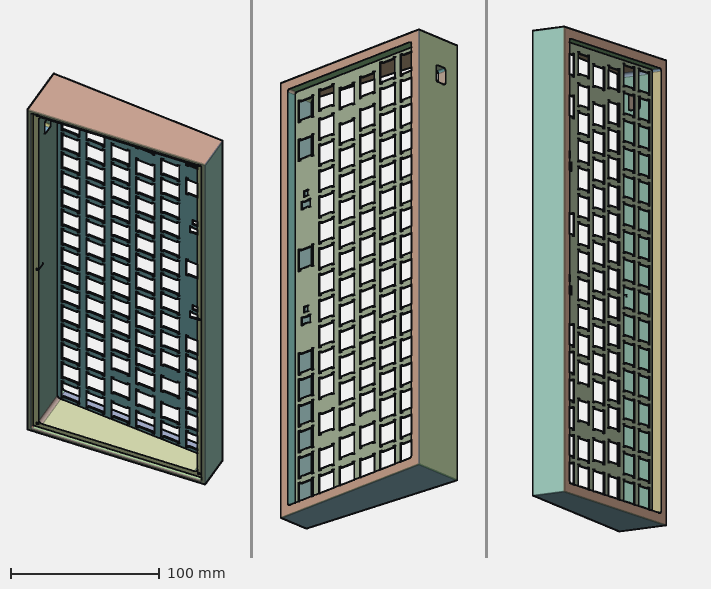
import cadquery as cq
import math

LENGTH = 319.8
WIDTH = 129.2
DEEP_SIDE = 37.7
SHALLOW_SIDE = 25.3
EDGE_RADIUS = 0.48

RIM = 3.0
RIM_CORNER_RADIUS = 1.0
SEAT_DEPTH = 3.0
WALL = 7.0
CAVITY_CORNER_RADIUS = 2.5
KEYCAP_RECESS = 7.0
RECESS_CORNER_RADIUS = 1.5
PLATE = 1.0

LENGTH_IN_KEYS = 16
KEY_ROWS = 6
KEY_FIELD_LENGTH = 304.7
KEY_PITCH = KEY_FIELD_LENGTH / LENGTH_IN_KEYS
SWITCH_GAP = 5.0
SWITCH = KEY_PITCH - SWITCH_GAP
SWITCH_NOTCH = (1.5, 1.0)

SPACE_ROW = KEY_ROWS - 1
SPACE_KEY = 6.5
PLAIN_ROW = [0.5 + i for i in range(LENGTH_IN_KEYS)]
ROWS = [
    PLAIN_ROW,
    PLAIN_ROW,
    [0.75] + [2.0 + i for i in range(12)] + [14.25, 15.5],
    [0.875] + [2.25 + i for i in range(12)] + [14.375, 15.5],
    [0.625] + [1.75 + i for i in range(11)] + [13.125, 14.5, 15.5],
    [0.75, 2.25, SPACE_KEY] + [10.5 + i for i in range(6)],
]

STABILISER_SPACING = 85.0
SMALL_SLOT = 4.0
SMALL_SLOT_SHIFT = 4.8
LARGE_SLOT_WIDTH = 8.0
LARGE_SLOT_HEIGHT = 4.8
LARGE_SLOT_NOTCH = (1.5, 0.48)
LARGE_SLOT_SHIFT = -3.2

SCREW_DIAMETER = 1.63
SCREW_DEPTH = 6.5
SCREW_INSET = 6.0

CABLE_LENGTH = 12.0
CABLE_DEPTH = 9.0
CABLE_RADIUS = 1.5
CABLE_Z = 133.0
CABLE_BACK = 17.0

ON_FRONT = 0.3


def front_y(x):
    """Y of the sloping front plane at x."""
    middle_depth = (DEEP_SIDE + SHALLOW_SIDE) / 2
    return -middle_depth + x * (DEEP_SIDE - SHALLOW_SIDE) / WIDTH


def wedge(back, front_offset):
    """Full-size block from y = -back to a plane front_offset behind the sloping front."""
    right = WIDTH / 2
    outline = [
        (-right, -back),
        (right, -back),
        (right, front_y(right) + front_offset),
        (-right, front_y(-right) + front_offset),
    ]
    return cq.Workplane("XY").polyline(outline).close().extrude(LENGTH / 2, both=True)


def rounded_column(margin, radius, depth):
    """Box centred on y = 0, inset by margin in X and Z, with rounded corners along Y."""
    box = cq.Workplane("XY").box(WIDTH - 2 * margin, depth, LENGTH - 2 * margin)
    return box.edges("|Y").fillet(radius)


def square_hole(x, z, side):
    """Square cutter along Y, centred on (x, z)."""
    return cq.Workplane("XY").box(side, 2 * DEEP_SIDE, side).translate((x, 0, z)).val()


def notched_hole(x, z, width, height, notch):
    """Rectangular cutter along Y with a notch in Z at each of its four corners."""
    notch_width, notch_depth = notch
    side = width / 2
    end = height / 2
    lower = [
        (-side, -end - notch_depth),
        (-side + notch_width, -end - notch_depth),
        (-side + notch_width, -end),
        (side - notch_width, -end),
        (side - notch_width, -end - notch_depth),
        (side, -end - notch_depth),
    ]
    upper = [(-u, -v) for u, v in lower]
    outline = cq.Workplane("XZ").polyline(lower + upper).close()
    return outline.extrude(DEEP_SIDE, both=True).translate((x, 0, z)).val()


def row_x(row):
    return (row - (KEY_ROWS - 1) / 2) * KEY_PITCH


def key_z(position):
    return KEY_FIELD_LENGTH / 2 - position * KEY_PITCH


def is_rim_inner_edge(edge):
    """True for the edges where the sloping front face meets the cover seat."""
    center = edge.Center()
    inside_x = abs(center.x) < WIDTH / 2 - RIM / 2
    inside_z = abs(center.z) < LENGTH / 2 - RIM / 2
    return inside_x and inside_z and math.fabs(center.y - front_y(center.x)) < ON_FRONT


def make_shell():
    """Rounded wedge with the cover seat, the cavity and the keycap recess."""
    shell = wedge(0, 0).edges().fillet(EDGE_RADIUS)

    seat = wedge(0, 0).intersect(rounded_column(RIM, RIM_CORNER_RADIUS, 3 * DEEP_SIDE))
    shell = shell.cut(seat.cut(wedge(0, SEAT_DEPTH)))
    rim_edges = [edge for edge in shell.edges().vals() if is_rim_inner_edge(edge)]
    shell = shell.newObject(rim_edges).fillet(EDGE_RADIUS)

    cavity = wedge(KEYCAP_RECESS + PLATE, 0)
    cavity = cavity.intersect(rounded_column(WALL, CAVITY_CORNER_RADIUS, 3 * DEEP_SIDE))
    recess = rounded_column(WALL, RECESS_CORNER_RADIUS, 2 * KEYCAP_RECESS)
    return shell.cut(cavity).cut(recess)


def switch_holes():
    return [
        notched_hole(row_x(row), key_z(position), SWITCH, SWITCH, SWITCH_NOTCH)
        for row, positions in enumerate(ROWS)
        for position in positions
    ]


def stabiliser_slots():
    slots = []
    x = row_x(SPACE_ROW)
    for side in (-1, 1):
        z = key_z(SPACE_KEY) + side * STABILISER_SPACING / 2
        slots.append(square_hole(x, z + SMALL_SLOT_SHIFT, SMALL_SLOT))
        slots.append(notched_hole(
            x, z + LARGE_SLOT_SHIFT, LARGE_SLOT_WIDTH, LARGE_SLOT_HEIGHT, LARGE_SLOT_NOTCH
        ))
    return slots


def screw_holes():
    """Holes at the corners and the middle of the long sides, starting at the front plane."""
    holes = []
    for side in (-1, 1):
        x = side * (WIDTH / 2 - SCREW_INSET)
        for end in (-1, 0, 1):
            start = cq.Vector(x, front_y(x), end * (LENGTH / 2 - SCREW_INSET))
            holes.append(cq.Solid.makeCylinder(
                SCREW_DIAMETER / 2, SEAT_DEPTH + SCREW_DEPTH, start, cq.Vector(0, 1, 0)
            ))
    return holes


def cable_opening():
    opening = cq.Workplane("XY").box(2 * WALL, CABLE_DEPTH, CABLE_LENGTH)
    opening = opening.edges("|X").fillet(CABLE_RADIUS)
    return opening.translate((-WIDTH / 2, -CABLE_BACK - CABLE_DEPTH / 2, CABLE_Z))


result = make_shell()
result = result.cut(cq.Compound.makeCompound(switch_holes() + stabiliser_slots()))
result = result.cut(cq.Compound.makeCompound(screw_holes()))
result = result.cut(cable_opening())